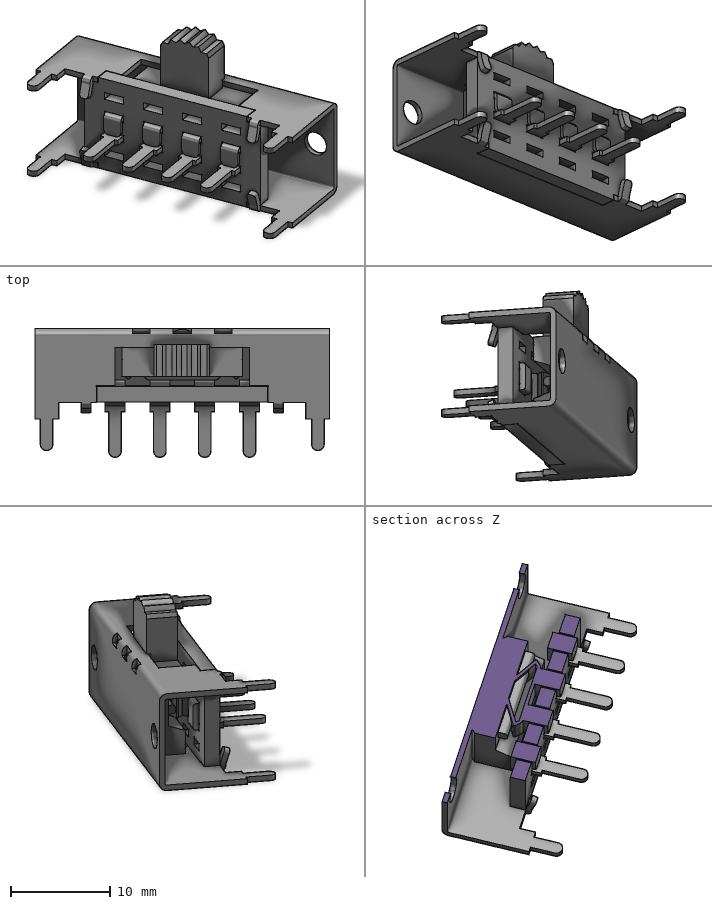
import cadquery as cq
import math


LENGTH = 29.72
HEIGHT = 10.3
SHEET = 0.6
MID_Z = HEIGHT / 2
BEND_RADIUS = 0.8
FLANGE_FRONT = -7.45
PAD_FRONT = -9.12
PAD_WIDTH = 2.45
LEG_FRONT = -12.3
LEG_WIDTH = 1.28
LEG_X = 13.67
MOUNT_HOLE_DIAMETER = 2.53
MOUNT_HOLE_X = 12.7
WINDOW_LENGTH = 13.55
WINDOW_BACK = -1.9

TANG_X = 9.7
TANG_WIDTH = 1.0
TANG_THICKNESS = SHEET
TANG_LENGTH = 1.55
TANG_DROP = 0.7
TANG_LEAN = 18.0
TANG_CORNER = 0.4

NOTCH_WIDTH = 1.72
NOTCH_X = 4.13
MID_NOTCH_WIDTH = 1.9
NOTCH_FLOOR = 9.2
NOTCH_STEP_Y = -0.35
NOTCH_STEP = 0.15
NOTCH_BACK = -0.5
NOTCH_ARCH_HALF_WIDTH = 0.85
NOTCH_ARCH_Y = -0.1

PLATE_BACK = -5.83
PLATE_FRONT = -7.43
PLATE_LENGTH = 20.33
PLATE_TAB_LENGTH = 17.18
TAB_GAP = 0.05
SLOT_LENGTH = 2.2
SLOT_HEIGHT = 0.77
SLOT_OFFSET = 3.25

CONTACT_HEIGHT = 2.47
CONTACT_FRONT = -5.2
CONTACT_FLAT = 7.0
CONTACT_TIP_Y = -4.6
CONTACT_EDGE_Y = -4.43
CONTACT_BEND_RADIUS = 0.6
CONTACT_SHEET = 0.4
CONTACT_RETURN_ANGLE = 60.0
CONTACT_SLOT_HEIGHT = 1.13

PIN_PITCH = 4.52
PIN_COUNT = 4
PIN_WIDTH = 1.28
PIN_FRONT = -13.0
SHOULDER_FRONT = -8.4
TERMINAL_WIDTH = 2.02
TERMINAL_BOTTOM = 3.75
TERMINAL_TOP = 6.55
TERMINAL_BACK = CONTACT_FRONT
STRIP = 0.55
FOLD_FRONT = -7.82
FOLD_CORNER = 0.6
TERMINAL_BEND = 0.33
FOLD_BEND = 0.5
SLOT_CLEARANCE = 0.12

SLIDER_LENGTH = 12.13
SLIDER_BOTTOM = 0.7
SLIDER_TOP = 9.6
SLIDER_FRONT = -4.85
SLIDER_CHAMFER = 0.35
RECESS_BACK = -3.12
RECESS_FLOOR_HEIGHT = 2.73
RECESS_MOUTH_HEIGHT = 3.92
RIB_LENGTH = 10.1
RIB_HEIGHT = 0.95
RIB_FRONT = -4.1
RIB_CORNER = 0.4
BUMP_X = 5.45
BUMP_OFFSET = 3.9
BUMP_RADIUS = 0.35
BUMP_HEIGHT = 0.27

KNOB_WIDTH = 5.6
KNOB_X = -0.05
KNOB_BACK = -1.63
KNOB_UNDERSIDE = 10.5
NECK_BACK = -2.05
KNOB_TOP = 15.48
TOOTH_PEAK_RADIUS = 4.3
TOOTH_VALLEY_RADIUS = 3.95
TOOTH_ANGLE = 14.5
TOOTH_COUNT = 6
KNOB_SHOULDER = 14.25


def block(x_range, y_range, z_range):
    """Box spanning the given (low, high) ranges."""
    low, high = zip(x_range, y_range, z_range)
    size = [end - start for start, end in zip(low, high)]
    return cq.Workplane("XY").box(*size, centered=False).translate(low)


def centered(length, middle=0.0):
    """(low, high) range of the given length about a middle."""
    return (middle - length / 2, middle + length / 2)


def mirrored_in_z(shape):
    return shape.union(shape.mirror("XY", (0, 0, MID_Z)))


def rounded_bar(x, width, y_start, y_end, z_range):
    """Flat bar running toward -Y with a full-round end."""
    left, right = centered(width, x)
    arc_start = y_end + width / 2
    bottom, top = z_range
    return (
        cq.Workplane("XY", origin=(0, 0, bottom))
        .moveTo(left, y_start)
        .lineTo(left, arc_start)
        .threePointArc((x, y_end), (right, arc_start))
        .lineTo(right, y_start)
        .close()
        .extrude(top - bottom)
    )


def make_bracket():
    outer = block(centered(LENGTH), (PAD_FRONT, 0), (0, HEIGHT))
    outer = outer.edges("|X and >Y").fillet(BEND_RADIUS)
    inner = block(centered(LENGTH), (PAD_FRONT, -SHEET), (SHEET, HEIGHT - SHEET))
    inner = inner.edges("|X and >Y").fillet(BEND_RADIUS - SHEET)
    bracket = outer.cut(inner)

    full_height = (0, HEIGHT)
    pad_gap = LENGTH - 2 * PAD_WIDTH
    bracket = bracket.cut(block(centered(pad_gap), (PAD_FRONT, FLANGE_FRONT), full_height))
    tab_gap = PLATE_TAB_LENGTH + 2 * TAB_GAP
    bracket = bracket.cut(block(centered(tab_gap), (FLANGE_FRONT, PLATE_BACK + TAB_GAP), full_height))
    bracket = bracket.cut(
        block(centered(WINDOW_LENGTH), (PLATE_BACK, WINDOW_BACK), (HEIGHT - SHEET, HEIGHT))
    )
    holes = (
        cq.Workplane("XZ", origin=(0, 0, MID_Z))
        .pushPoints([(-MOUNT_HOLE_X, 0), (MOUNT_HOLE_X, 0)])
        .circle(MOUNT_HOLE_DIAMETER / 2)
        .extrude(SHEET)
    )
    bracket = bracket.cut(holes)

    for side in (-1, 1):
        leg = rounded_bar(side * LEG_X, LEG_WIDTH, PAD_FRONT, LEG_FRONT, (0, SHEET))
        bracket = bracket.union(mirrored_in_z(leg))
        bracket = bracket.union(mirrored_in_z(make_tang(side * TANG_X)))
    return bracket


def make_tang(x):
    """Tongue of the lower flange, bent up across the plate and leaning away from it."""
    lean = math.radians(TANG_LEAN)
    bend_mid = math.sqrt(0.5) * TANG_THICKNESS
    face_y = FLANGE_FRONT - TANG_THICKNESS
    rise, advance = TANG_LENGTH * math.cos(lean), TANG_LENGTH * math.sin(lean)
    back_y = face_y + TANG_THICKNESS * math.cos(lean)
    back_z = TANG_DROP + TANG_THICKNESS * math.sin(lean)
    end_back = (back_y - advance, back_z + rise)
    tang = (
        cq.Workplane("YZ", origin=(x - TANG_WIDTH / 2, 0, 0))
        .moveTo(FLANGE_FRONT, 0)
        .threePointArc((FLANGE_FRONT - bend_mid, TANG_THICKNESS - bend_mid), (face_y, TANG_THICKNESS))
        .lineTo(face_y, TANG_DROP)
        .lineTo(face_y - advance, TANG_DROP + rise)
        .lineTo(*end_back)
        .lineTo(back_y, back_z)
        .lineTo(FLANGE_FRONT, SHEET)
        .close()
        .extrude(TANG_WIDTH)
    )
    end_face = cq.selectors.NearestToPointSelector((x, *end_back))
    return tang.faces(end_face).edges("not |X").fillet(TANG_CORNER)


def cut_bend_notches(body):
    for x, width in ((-NOTCH_X, NOTCH_WIDTH), (0, MID_NOTCH_WIDTH), (NOTCH_X, NOTCH_WIDTH)):
        x_range = centered(width, x)
        body = body.cut(block(x_range, (NOTCH_STEP_Y, 0), (NOTCH_FLOOR, HEIGHT)))
        body = body.cut(block(x_range, (NOTCH_BACK, NOTCH_STEP_Y), (NOTCH_FLOOR + NOTCH_STEP, HEIGHT)))
    arch = (
        cq.Workplane("XY", origin=(0, 0, NOTCH_FLOOR))
        .moveTo(-NOTCH_ARCH_HALF_WIDTH, NOTCH_STEP_Y)
        .threePointArc((0, NOTCH_ARCH_Y), (NOTCH_ARCH_HALF_WIDTH, NOTCH_STEP_Y))
        .close()
        .extrude(NOTCH_STEP / 2)
    )
    return body.union(arch)


def terminal_positions():
    return [PIN_PITCH * (i - (PIN_COUNT - 1) / 2) for i in range(PIN_COUNT)]


def make_plate():
    thickness = (PLATE_FRONT, PLATE_BACK)
    plate = block(centered(PLATE_LENGTH), thickness, (SHEET, HEIGHT - SHEET))
    plate = plate.union(block(centered(PLATE_TAB_LENGTH), thickness, (0, HEIGHT)))
    strip_slot = STRIP + 2 * SLOT_CLEARANCE
    slots = (
        (MID_Z - SLOT_OFFSET, SLOT_HEIGHT),
        (MID_Z + SLOT_OFFSET, SLOT_HEIGHT),
        (TERMINAL_BOTTOM + STRIP / 2, strip_slot),
        (TERMINAL_TOP - STRIP / 2, strip_slot),
    )
    for x in terminal_positions():
        for z, height in slots:
            plate = plate.cut(block(centered(SLOT_LENGTH, x), thickness, centered(height, z)))
    return plate


def make_terminal(x):
    """Strip looped through the plate and folded onto its front, with a pin below."""
    width = centered(TERMINAL_WIDTH, x)
    loop = block(width, (FOLD_FRONT, TERMINAL_BACK), (TERMINAL_BOTTOM, TERMINAL_TOP))
    loop = loop.edges("|X and >Y").fillet(TERMINAL_BEND)
    loop = loop.edges("|X and <Y and >Z").fillet(FOLD_BEND)
    inside_z = (TERMINAL_BOTTOM + STRIP, TERMINAL_TOP - STRIP)
    loop = loop.cut(block(width, (PLATE_FRONT, PLATE_BACK), inside_z))

    fold_space = block(width, (FOLD_FRONT, PLATE_FRONT), (TERMINAL_BOTTOM, TERMINAL_TOP))
    fold = block(width, (FOLD_FRONT, PLATE_FRONT), (inside_z[0], TERMINAL_TOP))
    fold = fold.edges("|Y and <Z").fillet(FOLD_CORNER)
    loop = loop.cut(fold_space.cut(fold))

    strip_z = (TERMINAL_BOTTOM, TERMINAL_BOTTOM + STRIP)
    shoulder = block(width, (SHOULDER_FRONT, PLATE_FRONT), strip_z)
    pin = rounded_bar(x, PIN_WIDTH, SHOULDER_FRONT, PIN_FRONT, strip_z)
    return loop.union(shoulder).union(pin)


def make_slider():
    slider = block(centered(SLIDER_LENGTH), (SLIDER_FRONT, -SHEET), (SLIDER_BOTTOM, SLIDER_TOP))
    slider = slider.edges("|Z and >Y").chamfer(SLIDER_CHAMFER)
    recess = (
        cq.Workplane("YZ", origin=(-SLIDER_LENGTH / 2, 0, MID_Z))
        .moveTo(RECESS_BACK, -RECESS_FLOOR_HEIGHT / 2)
        .lineTo(SLIDER_FRONT, -RECESS_MOUTH_HEIGHT / 2)
        .lineTo(SLIDER_FRONT, RECESS_MOUTH_HEIGHT / 2)
        .lineTo(RECESS_BACK, RECESS_FLOOR_HEIGHT / 2)
        .close()
        .extrude(SLIDER_LENGTH)
    )
    slider = slider.cut(recess)
    rib = block(centered(RIB_LENGTH), (RIB_FRONT, RECESS_BACK), centered(RIB_HEIGHT, MID_Z))
    slider = slider.union(rib.edges("|X and <Y").fillet(RIB_CORNER))
    for x in (-BUMP_X, BUMP_X):
        for z in (MID_Z - BUMP_OFFSET, MID_Z + BUMP_OFFSET):
            base = cq.Vector(x, SLIDER_FRONT, z)
            bump = cq.Solid.makeCone(BUMP_RADIUS, 0, BUMP_HEIGHT, base, cq.Vector(0, -1, 0))
            slider = slider.union(cq.Workplane(bump))
    return slider


def make_knob():
    """Thumb knob whose serrated crown alternates between two concentric circles."""
    left, right = centered(KNOB_WIDTH, KNOB_X)
    peak_angle = math.radians(TOOTH_ANGLE / 2)
    crown_z = KNOB_TOP - TOOTH_PEAK_RADIUS * math.cos(peak_angle)
    crown = []
    for i in range(2 * TOOTH_COUNT - 1):
        angle = math.radians((i - (TOOTH_COUNT - 1)) * TOOTH_ANGLE / 2)
        radius = TOOTH_PEAK_RADIUS if i % 2 == 0 else TOOTH_VALLEY_RADIUS
        crown.append((KNOB_X + radius * math.sin(angle), crown_z + radius * math.cos(angle)))
    left_side = [(left, SLIDER_TOP), (left, KNOB_SHOULDER)]
    right_side = [(right, KNOB_SHOULDER), (right, SLIDER_TOP)]
    knob = (
        cq.Workplane("XZ", origin=(0, KNOB_BACK, 0))
        .polyline(left_side + crown + right_side)
        .close()
        .extrude(KNOB_BACK - SLIDER_FRONT)
    )
    return knob.cut(block((left, right), (NECK_BACK, KNOB_BACK), (SLIDER_TOP, KNOB_UNDERSIDE)))


def make_contact():
    """Spring sheet: flat front, ends swept out at 45 degrees and back in to the slider."""
    half_flat = CONTACT_FLAT / 2
    half_tip = half_flat + CONTACT_TIP_Y - CONTACT_FRONT
    return_angle = math.radians(CONTACT_RETURN_ANGLE)
    half_end = half_tip - (RECESS_BACK - CONTACT_EDGE_Y) * math.tan(return_angle)
    return_width = CONTACT_SHEET / math.cos(return_angle)
    inner_y = CONTACT_FRONT + CONTACT_SHEET
    sweep_width = CONTACT_SHEET * math.sqrt(2)
    inner_flat = half_flat + CONTACT_SHEET - sweep_width
    edge_offset = (CONTACT_EDGE_Y - CONTACT_TIP_Y) * math.tan(return_angle)
    fold_rise = (sweep_width - return_width + edge_offset) / (1 + math.tan(return_angle))
    inner_fold = (half_tip - sweep_width + fold_rise, CONTACT_TIP_Y + fold_rise)
    right_half = [
        (half_flat, CONTACT_FRONT),
        (half_tip, CONTACT_TIP_Y),
        (half_tip, CONTACT_EDGE_Y),
        (half_end, RECESS_BACK),
        (half_end - return_width, RECESS_BACK),
        inner_fold,
        (inner_flat, inner_y),
    ]
    left_half = [(-x, y) for x, y in reversed(right_half)]
    contact = (
        cq.Workplane("XY", origin=(0, 0, MID_Z - CONTACT_HEIGHT / 2))
        .polyline(right_half + left_half)
        .close()
        .extrude(CONTACT_HEIGHT)
        .faces("<Y")
        .edges("|Z")
        .fillet(CONTACT_BEND_RADIUS)
    )
    slot_z = centered(CONTACT_SLOT_HEIGHT, MID_Z)
    return contact.cut(block(centered(RIB_LENGTH), (RIB_FRONT, RECESS_BACK), slot_z))


result = cut_bend_notches(make_bracket())
result = result.union(make_plate())
for terminal_x in terminal_positions():
    result = result.union(make_terminal(terminal_x))
result = result.union(make_slider()).union(make_knob()).union(make_contact())